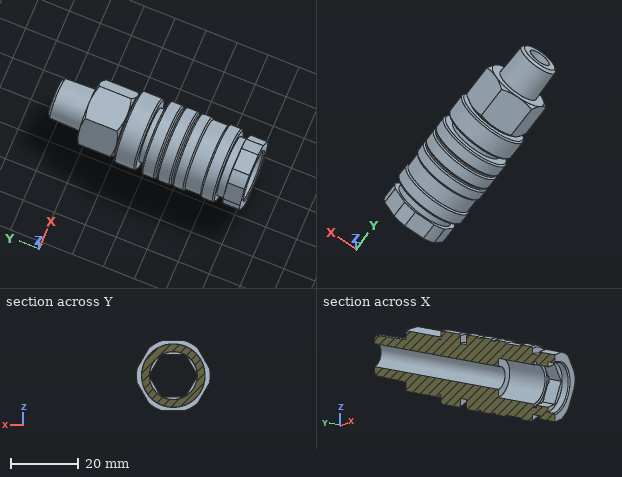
import cadquery as cq
import math


nose_length = 5.5
sleeve_start = 8.0
sleeve_end = 31.5
collar_start = 33.5
collar_end = 40.5
hex_start = 41.0
hex_end = 53.0
overall_length = 64.0

neck_diameter = 19.0
sleeve_diameter = 23.5
collar_diameter = 23.0
waist_diameter = 17.3
ring_chamfer = 0.5
sleeve_core_diameter = sleeve_diameter - 2 * ring_chamfer
sleeve_band_spans = [
    (sleeve_start, 12.5),
    (17.5, 21.5),
    (22.0, 26.5),
    (27.0, sleeve_end),
]

nose_across_flats = 21.0
nose_corner_diameter = 22.1
wrench_across_flats = 19.0
wrench_chamfer_angle = 30.0

gauge_diameter = 13.157
gauge_length = 6.0
taper_on_diameter = 1 / 16
thread_lead_in = 0.8

mouth_diameter = 15.6
mouth_chamfer = 0.4
mouth_depth = 2.5
socket_hex_across_flats = 12.5
socket_hex_end = 6.75
relief_diameter = 14.2
relief_end = 7.5
chamber_diameter = 12.1
chamber_end = 20.0
through_diameter = 7.0


def revolve_about_axis(outline):
    """Turn a closed outline of (radius, y) points about the Y axis."""
    return cq.Workplane("XY").polyline(outline).close().revolve(360, (0, 0), (0, 1))


def cylinder(diameter, start, end):
    radius = diameter / 2
    return revolve_about_axis([(0, start), (radius, start), (radius, end), (0, end)])


def chamfered_ring(diameter, start, end, chamfer):
    """Solid disc with an equal-leg chamfer on both rims."""
    radius = diameter / 2
    return revolve_about_axis([
        (0, start),
        (radius - chamfer, start),
        (radius, start + chamfer),
        (radius, end - chamfer),
        (radius - chamfer, end),
        (0, end),
    ])


def corner_to_corner(across_flats):
    return across_flats / math.cos(math.radians(30))


def hex_prism(across_flats, start, end):
    """Hexagonal prism along Y with flats facing +Z and -Z."""
    plane = cq.Workplane("XZ", origin=(0, start, 0))
    return plane.polygon(6, corner_to_corner(across_flats)).extrude(start - end)


def make_nose():
    turned_blank = cylinder(nose_corner_diameter, 0, nose_length)
    return hex_prism(nose_across_flats, 0, nose_length).intersect(turned_blank)


def make_sleeve():
    sleeve = cylinder(sleeve_core_diameter, sleeve_start, sleeve_end)
    for start, end in sleeve_band_spans:
        sleeve = sleeve.union(chamfered_ring(sleeve_diameter, start, end, ring_chamfer))
    return sleeve


def make_wrench_hex():
    """Hexagon whose corners are chamfered down to the inscribed circle at both ends."""
    flat_radius = wrench_across_flats / 2
    corner_radius = corner_to_corner(wrench_across_flats) / 2
    chamfer_length = (corner_radius - flat_radius) * math.tan(math.radians(wrench_chamfer_angle))
    chamfer_blank = revolve_about_axis([
        (0, hex_start),
        (flat_radius, hex_start),
        (corner_radius, hex_start + chamfer_length),
        (corner_radius, hex_end - chamfer_length),
        (flat_radius, hex_end),
        (0, hex_end),
    ])
    return hex_prism(wrench_across_flats, hex_start, hex_end).intersect(chamfer_blank)


def thread_radius(y):
    """Radius of the taper cone, which shrinks towards the thread end."""
    gauge_plane = overall_length - gauge_length
    return (gauge_diameter - (y - gauge_plane) * taper_on_diameter) / 2


def make_thread():
    """Taper cone ending in a 45 degree lead-in."""
    lead_in_start = overall_length - thread_lead_in
    return revolve_about_axis([
        (0, hex_end),
        (thread_radius(hex_end), hex_end),
        (thread_radius(lead_in_start), lead_in_start),
        (thread_radius(lead_in_start) - thread_lead_in, overall_length),
        (0, overall_length),
    ])


def make_socket():
    """Everything removed from the inside, from the mouth to the thread end."""
    mouth_radius = mouth_diameter / 2
    mouth = revolve_about_axis([
        (0, 0),
        (mouth_radius + mouth_chamfer, 0),
        (mouth_radius, mouth_chamfer),
        (mouth_radius, mouth_depth),
        (0, mouth_depth),
    ])
    socket_hex = hex_prism(socket_hex_across_flats, mouth_depth, socket_hex_end)
    relief = cylinder(relief_diameter, socket_hex_end, relief_end)
    chamber = cylinder(chamber_diameter, relief_end, chamber_end)
    through_hole = cylinder(through_diameter, chamber_end, overall_length)
    return mouth.union(socket_hex).union(relief).union(chamber).union(through_hole)


body = make_nose()
body = body.union(cylinder(neck_diameter, nose_length, sleeve_start))
body = body.union(make_sleeve())
body = body.union(cylinder(waist_diameter, sleeve_end, hex_start))
body = body.union(chamfered_ring(collar_diameter, collar_start, collar_end, ring_chamfer))
body = body.union(make_wrench_hex())
body = body.union(make_thread())

result = body.cut(make_socket())